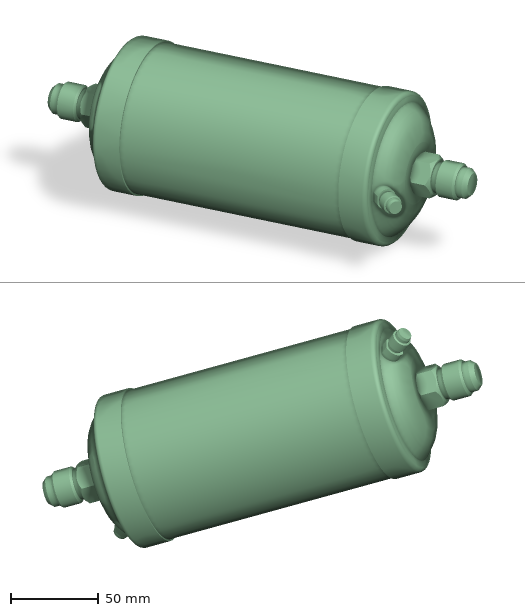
import cadquery as cq
import math

overall_length = 266
shell_radius = 44.5
cap_radius = 45.5
cap_inner_x = 69.5
cap_shoulder_x = 87.0
shoulder_round = 2.7
dome_face_x = 99.0
dome_face_radius = 18.4
dome_round = 24.0
dome_slope = 45
shoulder_foot_x = 87.8

hex_flats = 22.3
hex_outer_face_radius = 10.6
hex_inner_face_radius = 11.7
fitting_tip_radius = 6.6
fitting_nose_radius = 9.0
fitting_thread_radius = 11.0
fitting_thread_end_radius = 9.8
fitting_tip_length = 2.7
fitting_nose_length = 4.0
fitting_thread_lead = 1.3
fitting_thread_length = 11.5
fitting_neck_length = 2.5

port_angle = 40
port_face_x = 96.5
port_face_y = 38.3
port_base_radius = 6.0
port_base_flats = 11.0
port_base_length = 10.6
port_tip_radius = 4.0
port_nose_radius = 4.5
port_thread_radius = 5.5
port_thread_end_radius = 4.8
port_tip_length = 1.5
port_nose_length = 2.0
port_thread_lead = 0.4
port_thread_length = 6.5
port_neck_length = 2.0


def revolve_about_x(profile):
    return profile.close().revolve(360, (0, 0, 0), (1, 0, 0))


def half_shell():
    """Half of the tube with its domed cap, on the +X side."""
    slope = math.radians(dome_slope)
    round_x = dome_face_x - dome_round
    dome_mid = (
        round_x + dome_round * math.cos(slope / 2),
        dome_face_radius + dome_round * math.sin(slope / 2),
    )
    dome_end = (
        round_x + dome_round * math.cos(slope),
        dome_face_radius + dome_round * math.sin(slope),
    )
    shoulder_foot_radius = dome_end[1] + (dome_end[0] - shoulder_foot_x) * math.tan(slope)
    round_offset = shoulder_round * math.sin(math.pi / 4)
    round_mid = (
        cap_shoulder_x - shoulder_round + round_offset,
        cap_radius - shoulder_round + round_offset,
    )
    return revolve_about_x(
        cq.Workplane("XY")
        .lineTo(0, shell_radius)
        .lineTo(cap_inner_x, shell_radius)
        .lineTo(cap_inner_x, cap_radius)
        .lineTo(cap_shoulder_x - shoulder_round, cap_radius)
        .threePointArc(round_mid, (cap_shoulder_x, cap_radius - shoulder_round))
        .lineTo(shoulder_foot_x, shoulder_foot_radius)
        .lineTo(*dome_end)
        .threePointArc(dome_mid, (dome_face_x, dome_face_radius))
        .lineTo(dome_face_x, 0)
    )


def flare_end(
    neck_length, thread_length, thread_lead, nose_length, tip_length,
    thread_radius, thread_end_radius, nose_radius, tip_radius,
):
    """Neck, threaded collar, nose and flare cone, growing from the origin along +X."""
    collar_start = neck_length
    thread_end = collar_start + thread_length
    collar_end = thread_end + thread_lead
    nose_end = collar_end + nose_length
    tip = nose_end + tip_length
    return revolve_about_x(
        cq.Workplane("XY")
        .lineTo(0, nose_radius)
        .lineTo(collar_start, nose_radius)
        .lineTo(collar_start, thread_end_radius)
        .lineTo(collar_start + thread_lead, thread_radius)
        .lineTo(thread_end, thread_radius)
        .lineTo(collar_end, thread_end_radius)
        .lineTo(collar_end, nose_radius)
        .lineTo(nose_end, nose_radius)
        .lineTo(tip, tip_radius)
        .lineTo(tip, 0)
    )


def hex_nut(length):
    """Hexagon with corners on +Y and -Y, its corners bevelled by a cone at each end."""
    corner_radius = hex_flats / math.sqrt(3)
    prism = cq.Workplane("YZ").polygon(6, 2 * corner_radius).extrude(length)
    bevels = revolve_about_x(
        cq.Workplane("XY")
        .lineTo(0, hex_inner_face_radius)
        .lineTo(corner_radius - hex_inner_face_radius, corner_radius)
        .lineTo(length - corner_radius + hex_outer_face_radius, corner_radius)
        .lineTo(length, hex_outer_face_radius)
        .lineTo(length, 0)
    )
    return prism.intersect(bevels)


def axial_fitting():
    end = flare_end(
        fitting_neck_length, fitting_thread_length, fitting_thread_lead,
        fitting_nose_length, fitting_tip_length,
        fitting_thread_radius, fitting_thread_end_radius,
        fitting_nose_radius, fitting_tip_radius,
    )
    end_length = (
        fitting_neck_length + fitting_thread_length + fitting_thread_lead
        + fitting_nose_length + fitting_tip_length
    )
    hex_outer_x = overall_length / 2 - end_length
    nut = hex_nut(hex_outer_x - dome_face_x).translate((dome_face_x, 0, 0))
    return nut.union(end.translate((hex_outer_x, 0, 0)))


def access_port():
    """Side port on the +X dome, leaning towards -Y."""
    base = cq.Workplane("YZ").circle(port_base_radius).extrude(-port_base_length)
    flats = cq.Workplane("YZ").rect(port_base_flats, 2 * port_base_radius).extrude(-port_base_length)
    end = flare_end(
        port_neck_length, port_thread_length, port_thread_lead,
        port_nose_length, port_tip_length,
        port_thread_radius, port_thread_end_radius,
        port_nose_radius, port_tip_radius,
    )
    port = base.intersect(flats).union(end)
    return port.rotate((0, 0, 0), (0, 0, 1), -port_angle).translate((port_face_x, -port_face_y, 0))


half_part = half_shell().union(axial_fitting()).union(access_port())

result = half_part.union(half_part.rotate((0, 0, 0), (0, 0, 1), 180)).clean()